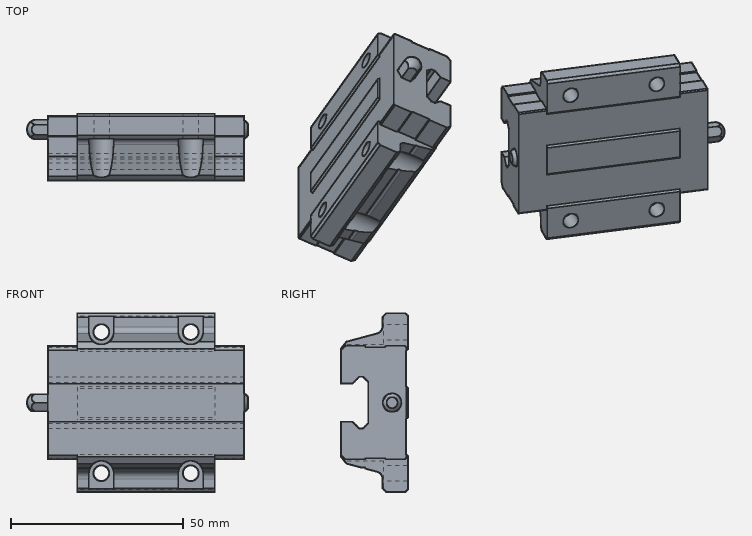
import cadquery as cq
import math


TOTAL_LENGTH = 64.3
DEPTH = 19.5
WIDTH = 52.0
BODY_LENGTH = 57.05
BLOCK_LENGTH = 40.05

FLANGE_FACE_Y = 12.0
FLANGE_BACK_CHAMFER = 0.8
FLANGE_FRONT_CHAMFER = 1.15
FLANGE_ROOT_RADIUS = 2.0
SLOPE_ANGLE = math.radians(15)
NOSE_HALF_WIDTH = 15.7
SLOPE_START_Y = 1.6
SLOPE_START_Z = 17.75

BACK_GROOVE_DEPTH = 0.6
BACK_GROOVE_INNER_Z = 4.25
BACK_GROOVE_OUTER_Z = 15.55

LEDGE_Y = 7.0
LEDGE_Z = 18.9

CAP_HALF_WIDTH = 16.5
CAP_DEPTH = DEPTH - BACK_GROOVE_DEPTH
CAP_FRONT_CHAMFER = 1.3
CAP_BACK_CHAMFER = 0.4
CAP_RECESS_DEPTH = 0.4
CAP_RECESS_START_Y = 7.0
CAP_RECESS_START_RUN = 0.1
CAP_RECESS_END_Y = 12.7

CHANNEL_DEPTH = 7.9
CHANNEL_MOUTH_Z = 5.5
CHANNEL_WIDE_Z = 7.45
CHANNEL_BACK_Z = 6.0
CHANNEL_LIP_Y = 3.35

HOLE_DIAMETER = 4.5
HOLE_SPACING_X = 26.0
HOLE_SPACING_Z = 41.0
SPOTFACE_DIAMETER = 7.2
SPOTFACE_Y = 12.2

NIPPLE_Y = 14.85
NIPPLE_LENGTH = 6.1
NIPPLE_CORNER_DIAMETER = 5.8
NIPPLE_TIP_RADIUS = 2.95
PLUG_BASE_RADIUS = 2.7
PLUG_END_RADIUS = 1.6
PLUG_HEIGHT = TOTAL_LENGTH - BODY_LENGTH - NIPPLE_LENGTH


def extrude_along_x(outline, length):
    """Extrude a closed (Y, Z) outline, centred on X = 0."""
    return outline.close().extrude(length / 2, both=True)


def prism(points, length):
    return extrude_along_x(cq.Workplane("YZ").polyline(points), length)


def mirrored(half_outline):
    """Complete an outline from its +Z half by reflecting the points in Z = 0."""
    return half_outline + [(y, -z) for y, z in reversed(half_outline)]


def make_block():
    half_width = WIDTH / 2
    root_centre_y = FLANGE_FACE_Y - FLANGE_ROOT_RADIUS
    slope_end_y = root_centre_y + FLANGE_ROOT_RADIUS * math.sin(SLOPE_ANGLE)
    slope_end_z = SLOPE_START_Z + (slope_end_y - SLOPE_START_Y) * math.tan(SLOPE_ANGLE)
    root_centre_z = slope_end_z + FLANGE_ROOT_RADIUS * math.cos(SLOPE_ANGLE)
    mid_angle = (math.pi / 2 - SLOPE_ANGLE) / 2
    root_mid = (
        root_centre_y + FLANGE_ROOT_RADIUS * math.cos(mid_angle),
        root_centre_z - FLANGE_ROOT_RADIUS * math.sin(mid_angle),
    )
    half_outline = (
        cq.Workplane("YZ")
        .moveTo(0, 0)
        .lineTo(0, NOSE_HALF_WIDTH)
        .lineTo(SLOPE_START_Y, SLOPE_START_Z)
        .lineTo(slope_end_y, slope_end_z)
        .threePointArc(root_mid, (FLANGE_FACE_Y, root_centre_z))
        .lineTo(FLANGE_FACE_Y, half_width - FLANGE_FRONT_CHAMFER)
        .lineTo(FLANGE_FACE_Y + FLANGE_FRONT_CHAMFER, half_width)
        .lineTo(DEPTH - FLANGE_BACK_CHAMFER, half_width)
        .lineTo(DEPTH, half_width - FLANGE_BACK_CHAMFER)
        .lineTo(DEPTH, BACK_GROOVE_OUTER_Z)
        .lineTo(DEPTH - BACK_GROOVE_DEPTH, BACK_GROOVE_OUTER_Z - BACK_GROOVE_DEPTH)
        .lineTo(DEPTH - BACK_GROOVE_DEPTH, BACK_GROOVE_INNER_Z + BACK_GROOVE_DEPTH)
        .lineTo(DEPTH, BACK_GROOVE_INNER_Z)
        .lineTo(DEPTH, 0)
    )
    half_block = extrude_along_x(half_outline, BLOCK_LENGTH)
    return half_block.union(half_block.mirror("XY"))


def make_ledge_cutter():
    ledge_start_y = SLOPE_START_Y + (LEDGE_Z - SLOPE_START_Z) / math.tan(SLOPE_ANGLE)
    slope_z = LEDGE_Z + (LEDGE_Y - ledge_start_y) * math.tan(SLOPE_ANGLE)
    return prism([(ledge_start_y, -LEDGE_Z), (LEDGE_Y, -LEDGE_Z), (LEDGE_Y, -slope_z)], BLOCK_LENGTH)


def make_cap_body():
    recess_z = CAP_HALF_WIDTH - CAP_RECESS_DEPTH
    half_outline = [
        (0, CAP_HALF_WIDTH - CAP_FRONT_CHAMFER),
        (CAP_FRONT_CHAMFER, CAP_HALF_WIDTH),
        (CAP_RECESS_START_Y, CAP_HALF_WIDTH),
        (CAP_RECESS_START_Y + CAP_RECESS_START_RUN, recess_z),
        (CAP_RECESS_END_Y, recess_z),
        (CAP_RECESS_END_Y + CAP_RECESS_DEPTH, CAP_HALF_WIDTH),
        (CAP_DEPTH - CAP_BACK_CHAMFER, CAP_HALF_WIDTH),
        (CAP_DEPTH, CAP_HALF_WIDTH - CAP_BACK_CHAMFER),
    ]
    return prism(mirrored(half_outline), BODY_LENGTH)


def make_channel_cutter():
    lip_run = CHANNEL_WIDE_Z - CHANNEL_MOUTH_Z
    back_run = CHANNEL_WIDE_Z - CHANNEL_BACK_Z
    half_outline = [
        (0, CHANNEL_MOUTH_Z),
        (CHANNEL_LIP_Y, CHANNEL_MOUTH_Z),
        (CHANNEL_LIP_Y + lip_run, CHANNEL_WIDE_Z),
        (CHANNEL_DEPTH - back_run, CHANNEL_WIDE_Z),
        (CHANNEL_DEPTH, CHANNEL_BACK_Z),
    ]
    return prism(mirrored(half_outline), BODY_LENGTH)


def make_hole_cutter(x, side):
    """Through hole with a spotface that runs out over the flange edge; side is +1 or -1."""
    z = side * HOLE_SPACING_Z / 2
    base = cq.Workplane("XZ", origin=(x, 0, z))
    hole = base.circle(HOLE_DIAMETER / 2).extrude(-DEPTH)
    spotface = base.circle(SPOTFACE_DIAMETER / 2).extrude(-SPOTFACE_Y)
    run_out = WIDTH / 2 - HOLE_SPACING_Z / 2
    slot = base.center(0, side * run_out / 2).rect(SPOTFACE_DIAMETER, run_out).extrude(-SPOTFACE_Y)
    return hole.union(spotface).union(slot)


def make_nipple():
    """Hexagonal pin with a spherical tip, standing on the end face at -X."""
    tip_x = -BODY_LENGTH / 2 - NIPPLE_LENGTH
    pin = (
        cq.Workplane("YZ", origin=(tip_x, NIPPLE_Y, 0))
        .polygon(6, NIPPLE_CORNER_DIAMETER)
        .extrude(NIPPLE_LENGTH)
    )
    half_angle = math.pi / 4
    tip_arc_mid = (
        NIPPLE_TIP_RADIUS * (1 - math.cos(half_angle)),
        NIPPLE_TIP_RADIUS * math.sin(half_angle),
    )
    envelope = (
        cq.Workplane("XY", origin=(tip_x, NIPPLE_Y, 0))
        .threePointArc(tip_arc_mid, (NIPPLE_TIP_RADIUS, NIPPLE_TIP_RADIUS))
        .lineTo(NIPPLE_LENGTH, NIPPLE_TIP_RADIUS)
        .lineTo(NIPPLE_LENGTH, 0)
        .close()
        .revolve(360, (0, 0, 0), (1, 0, 0))
    )
    return pin.intersect(envelope)


def make_plug():
    """Spherical button with a flat end, standing on the end face at +X."""
    centre_depth = (PLUG_BASE_RADIUS**2 - PLUG_END_RADIUS**2 - PLUG_HEIGHT**2) / (2 * PLUG_HEIGHT)
    sphere_radius = math.hypot(PLUG_BASE_RADIUS, centre_depth)
    mid_x = PLUG_HEIGHT / 2
    mid_radius = math.sqrt(sphere_radius**2 - (centre_depth + mid_x) ** 2)
    return (
        cq.Workplane("XY", origin=(BODY_LENGTH / 2, NIPPLE_Y, 0))
        .lineTo(PLUG_HEIGHT, 0)
        .lineTo(PLUG_HEIGHT, PLUG_END_RADIUS)
        .threePointArc((mid_x, mid_radius), (0, PLUG_BASE_RADIUS))
        .close()
        .revolve(360, (0, 0, 0), (1, 0, 0))
    )


result = make_block().cut(make_ledge_cutter()).union(make_cap_body()).cut(make_channel_cutter())
for hole_x in (-HOLE_SPACING_X / 2, HOLE_SPACING_X / 2):
    for hole_side in (-1, 1):
        result = result.cut(make_hole_cutter(hole_x, hole_side))
result = result.union(make_nipple()).union(make_plug())